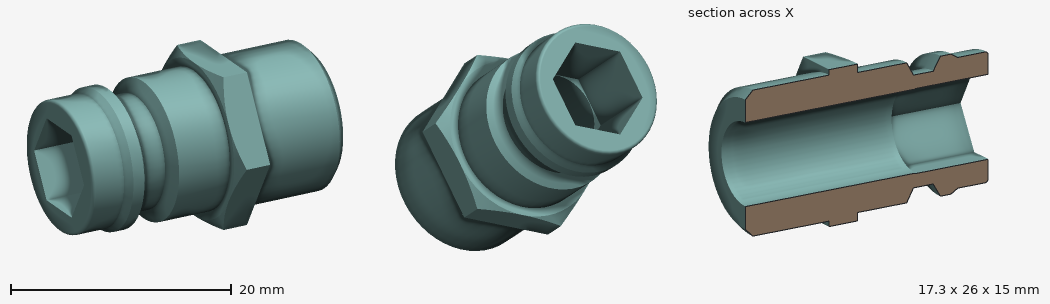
import cadquery as cq
import math

total_length = 26.0

nose_end = 3.25
collar_start = 3.98
collar_end = 5.12
groove_start = 5.9
groove_end = 7.98
body_start = 8.7
nut_start = 13.95
nut_end = 17.05

nose_radius = 6.27
body_radius = 6.7
groove_radius = 5.4
rear_radius = 7.0

tip_fillet = 0.3
rear_chamfer_length = 0.8
rear_chamfer_depth = 0.8

nut_across_flats = 15.0
nut_chamfer_angle = 30.0
bore_diameter = 7.98
socket_across_flats = 8.05
socket_depth = 7.8


def hex_prism(across_flats, start, end):
    """Hexagonal bar along Y with two corners on the X axis."""
    across_corners = across_flats / math.cos(math.radians(30))
    return (
        cq.Workplane("XZ", origin=(0, end, 0))
        .polygon(6, across_corners)
        .extrude(end - start)
    )


def revolve_about_y(points):
    """Solid of revolution from (radius, station) points."""
    return (
        cq.Workplane("XY")
        .polyline(points)
        .close()
        .revolve(360, (0, 0, 0), (0, 1, 0))
    )


def turned_body():
    body = revolve_about_y([
        (0, 0),
        (nose_radius, 0),
        (nose_radius, nose_end),
        (body_radius, collar_start),
        (body_radius, collar_end),
        (groove_radius, groove_start),
        (groove_radius, groove_end),
        (body_radius, body_start),
        (body_radius, nut_end),
        (rear_radius, nut_end),
        (rear_radius, total_length - rear_chamfer_length),
        (rear_radius - rear_chamfer_depth, total_length),
        (0, total_length),
    ])
    return body.faces("<Y").edges().fillet(tip_fillet)


def chamfered_nut():
    """Hex nut whose corners are cut by a cone on the plug side."""
    inner_radius = nut_across_flats / 2
    outer_radius = nut_across_flats
    rise = (outer_radius - inner_radius) * math.tan(math.radians(nut_chamfer_angle))
    envelope = revolve_about_y([
        (0, nut_start),
        (inner_radius, nut_start),
        (outer_radius, nut_start + rise),
        (outer_radius, total_length),
        (0, total_length),
    ])
    return hex_prism(nut_across_flats, nut_start, nut_end).intersect(envelope)


bore = cq.Workplane("XZ").circle(bore_diameter / 2).extrude(-total_length)
socket = hex_prism(socket_across_flats, 0, socket_depth)

result = turned_body().union(chamfered_nut()).cut(bore).cut(socket)